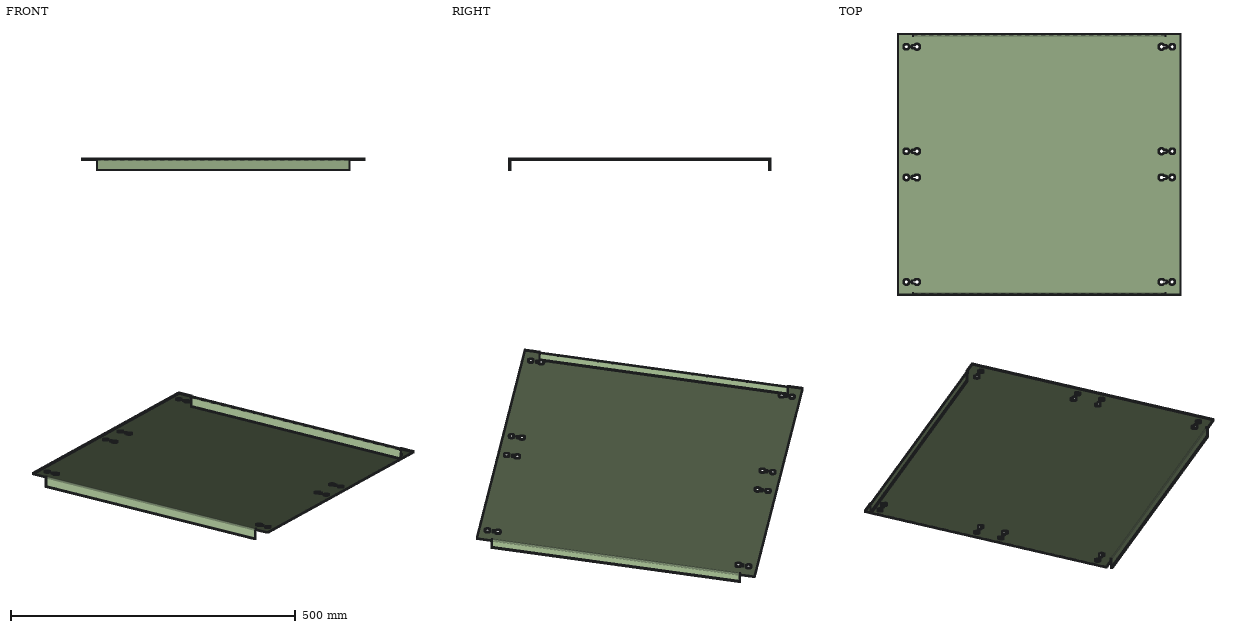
import cadquery as cq

panel_length = 497.5
panel_width = 459.5
panel_height = 20.0
sheet_thickness = 2.0
bend_outer_radius = 3.5
bend_inner_radius = bend_outer_radius - sheet_thickness

tab_length = 26.5
flange_length = panel_length - 2 * tab_length

round_hole_diameter = 9.5
round_hole_edge_distance = 14.75
keyhole_diameter = 10.0
keyhole_edge_distance = 33.5
keyhole_slot_width = 5.0
keyhole_slot_reach = 7.0
inner_row_y = 23.0
outer_row_y = 207.0

half_length = panel_length / 2


def make_rounded_block(width, height, top_edge_radius):
    """Block as long as the flanges, standing on the flange bottoms, with rounded upper long edges."""
    return (
        cq.Workplane("XY", origin=(0, 0, -panel_height))
        .box(flange_length, width, height, centered=(True, True, False))
        .edges("|X and >Z")
        .fillet(top_edge_radius)
    )


def make_folded_channel():
    """Sheet with both flanges, as long as the flanges."""
    outside = make_rounded_block(panel_width, panel_height, bend_outer_radius)
    inside = make_rounded_block(
        panel_width - 2 * sheet_thickness,
        panel_height - sheet_thickness,
        bend_inner_radius,
    )
    return outside.cut(inside)


def make_end_strip(side):
    """Flat full-width strip at the -X (side = -1) or +X (side = 1) end, with its corner tabs."""
    strip_centre_x = side * (half_length - tab_length / 2)
    return (
        cq.Workplane("XY")
        .center(strip_centre_x, 0)
        .rect(tab_length, panel_width)
        .extrude(-sheet_thickness)
    )


def make_hole_pair(side, row_y):
    """Cutter for one round hole and the keyhole beside it, whose slot points to the edge."""
    round_x = side * (half_length - round_hole_edge_distance)
    keyhole_x = side * (half_length - keyhole_edge_distance)
    slot_end_x = keyhole_x + side * keyhole_slot_reach
    sheet = cq.Workplane("XY")
    round_hole = sheet.center(round_x, row_y).circle(round_hole_diameter / 2).extrude(-sheet_thickness)
    keyhole = sheet.center(keyhole_x, row_y).circle(keyhole_diameter / 2).extrude(-sheet_thickness)
    slot = (
        sheet.center((keyhole_x + slot_end_x) / 2, row_y)
        .slot2D(keyhole_slot_reach + keyhole_slot_width, keyhole_slot_width)
        .extrude(-sheet_thickness)
    )
    return round_hole.union(keyhole.union(slot))


panel = make_folded_channel()
for side in (-1, 1):
    panel = panel.union(make_end_strip(side))

for side in (-1, 1):
    for row_y in (-outer_row_y, -inner_row_y, inner_row_y, outer_row_y):
        panel = panel.cut(make_hole_pair(side, row_y))

result = panel